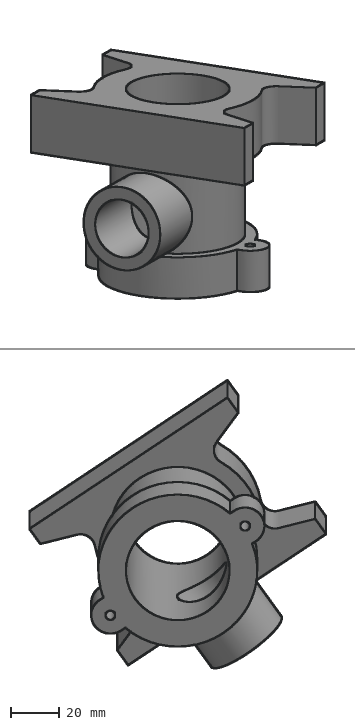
import cadquery as cq
import math

base_height = 18
body_height = 38
plate_height = 25
plate_bottom = base_height + body_height
total_height = plate_bottom + plate_height

base_diameter = 66
body_diameter = 56
bore_diameter = 43

ear_radius = 8
ear_offset = 34
ear_hole_diameter = 4

plate_length = 100
plate_width = 72
hub_diameter = 70
notch_mouth = 56
notch_angle = math.radians(20)
notch_inner_x = 20
notch_fillet = 6

pipe_diameter = 36
pipe_bore_diameter = 25
pipe_reach = 50
pipe_axis_z = 34


def cylinder(diameter, bottom, height, x=0):
    """Vertical cylinder centred at (x, 0)."""
    return cq.Workplane("XY", origin=(x, 0, bottom)).circle(diameter / 2).extrude(height)


def pipe_cylinder(diameter):
    """Horizontal cylinder from the housing axis to the pipe mouth."""
    return cq.Workplane("XZ", origin=(0, 0, pipe_axis_z)).circle(diameter / 2).extrude(pipe_reach)


def notch():
    """Tapered notch in the +X end, rounded where its flanks meet the hub."""
    outer_x = plate_length / 2
    outer_y = notch_mouth / 2
    inner_y = outer_y - (outer_x - notch_inner_x) * math.tan(notch_angle)
    corners = [
        (notch_inner_x, -inner_y),
        (outer_x, -outer_y),
        (outer_x, outer_y),
        (notch_inner_x, inner_y),
    ]
    wedge = cq.Workplane("XY", origin=(0, 0, plate_bottom)).polyline(corners).close().extrude(plate_height)
    hub = cylinder(hub_diameter, plate_bottom, plate_height)
    return wedge.cut(hub).edges("|Z").edges("<X").fillet(notch_fillet)


def top_plate():
    plate = cq.Workplane("XY", origin=(0, 0, plate_bottom)).rect(plate_length, plate_width).extrude(plate_height)
    end_notch = notch()
    return plate.cut(end_notch).cut(end_notch.mirror("YZ"))


def base_with_ears():
    base = cylinder(base_diameter, 0, base_height)
    ears = cq.Workplane("XY").slot2D(2 * (ear_offset + ear_radius), 2 * ear_radius).extrude(base_height)
    return base.union(ears)


result = base_with_ears().union(cylinder(body_diameter, base_height, body_height))
result = result.union(top_plate()).union(pipe_cylinder(pipe_diameter))
result = result.cut(cylinder(bore_diameter, 0, total_height))
result = result.cut(pipe_cylinder(pipe_bore_diameter))

for ear_x in (-ear_offset, ear_offset):
    result = result.cut(cylinder(ear_hole_diameter, 0, base_height, ear_x))